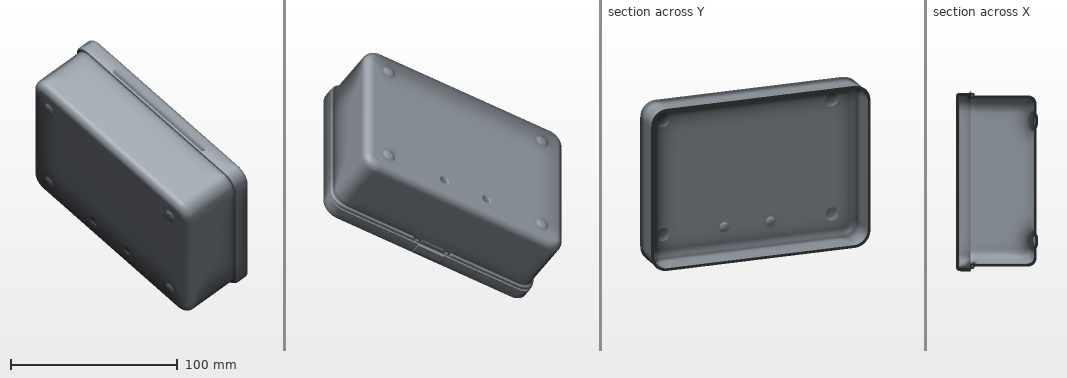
import cadquery as cq
import math


box_width = 139.9
box_height = 101.8
box_depth = 39.2
corner_radius = 10.0
box_edge_radius = 5.0
box_sheet = 1.0

lid_width = 143.0
lid_height = 106.1
lid_depth = 8.5
lid_edge_radius = 2.0
lid_sheet = 1.3

rim_overhang = (lid_width - box_width) / 2
rim_depth = 2.0
rim_fillet = 1.0
rim_width = box_width + 2 * rim_overhang
rim_height = box_height + 2 * rim_overhang
lid_top = rim_height / 2
lid_bottom = lid_top - lid_height
lid_center = (lid_top + lid_bottom) / 2

notch_width = 25.7
tongue_width = 14.9
tongue_thickness = 0.6
tongue_fillet = 0.5
stop_width = 1.7
stop_center = 10.5

hinge_length = 80.1
hinge_rise = 1.5
hinge_heel = 0.9

latch_width = 18.0
latch_thickness = 1.0
latch_bend_radius = 4.1

foot_radius = 4.1
foot_tip_radius = 1.3
foot_x = 54.0
foot_z = 36.0
dimple_radius = 3.1
dimple_tip_radius = 0.7
dimple_x = 14.9
press_height = 0.9


def rounded_block(width, height, radius, y_front, y_back, z_center=0.0):
    """Block with rounded corners, running from y_front back to y_back."""
    return (
        cq.Workplane("XZ", origin=(0, y_back, z_center))
        .rect(width, height)
        .extrude(y_back - y_front)
        .edges("|Y")
        .fillet(radius)
    )


def block(width, x_center, y_front, y_back, z_low, z_high):
    """Plain block centred on x_center."""
    return cq.Workplane("XY").box(width, y_back - y_front, z_high - z_low).translate(
        (x_center, (y_front + y_back) / 2, (z_low + z_high) / 2)
    )


def dome(radius, tip_radius, x, y, z, direction):
    """Low round dome with a flat tip, rising from y along Y; direction is -1 or 1."""
    run = radius - tip_radius
    arc_radius = (run**2 + press_height**2) / (2 * press_height)
    half_angle = math.asin(run / arc_radius) / 2
    middle = (
        tip_radius + arc_radius * math.sin(half_angle),
        direction * (press_height - arc_radius * (1 - math.cos(half_angle))),
    )
    return (
        cq.Workplane("ZY")
        .lineTo(radius, 0)
        .threePointArc(middle, (tip_radius, direction * press_height))
        .lineTo(0, direction * press_height)
        .close()
        .revolve(360, (0, 0, 0), (0, 1, 0))
        .translate((x, y, z))
    )


def make_rim():
    """Plate around the box mouth, notched at the bottom and rounded at its front edge."""
    box_bottom = -box_height / 2
    notch = block(notch_width, 0, -rim_depth, 0, -rim_height / 2, box_bottom + box_sheet / 2)
    rim = rounded_block(rim_width, rim_height, corner_radius, -rim_depth, 0).cut(notch)
    return rim.faces("<Y").edges().fillet(rim_fillet)


def make_hinge_ridge():
    """Ridge on top of the rim that laps a little way over the lid."""
    profile = [
        (-rim_depth + rim_fillet, lid_top - rim_overhang),
        (-rim_depth + rim_fillet, lid_top),
        (0, lid_top + hinge_rise),
        (hinge_heel, lid_top + hinge_heel),
        (hinge_heel, lid_top),
        (0, lid_top),
        (0, lid_top - rim_overhang),
    ]
    return cq.Workplane("YZ").polyline(profile).close().extrude(hinge_length / 2, both=True)


def make_notch_details():
    """Tongue on the lower wall inside the rim notch, with a stop on either side."""
    wall_middle = -box_height / 2 + box_sheet / 2
    tongue_bottom = -box_height / 2 - tongue_thickness
    stop_bottom = lid_bottom + lid_sheet
    details = block(tongue_width, 0, -rim_depth, 0, tongue_bottom, wall_middle)
    details = details.edges("<Y and <Z").fillet(tongue_fillet)
    for side in (-1, 1):
        stop = block(stop_width, side * stop_center, -rim_fillet, 0, stop_bottom, wall_middle)
        details = details.union(stop)
    return details


def make_box():
    """Open sheet box with its rim, hinge ridge, feet and dimples."""
    outside = rounded_block(box_width, box_height, corner_radius, -box_depth, 0)
    outside = outside.faces("<Y").edges().fillet(box_edge_radius)
    inner_front = -box_depth + box_sheet
    cavity = rounded_block(
        box_width - 2 * box_sheet,
        box_height - 2 * box_sheet,
        corner_radius - box_sheet,
        inner_front,
        0,
    )
    cavity = cavity.faces("<Y").edges().fillet(box_edge_radius - box_sheet)
    body = outside.union(make_rim()).union(make_hinge_ridge()).union(make_notch_details()).cut(cavity)

    for x in (-foot_x, foot_x):
        for z in (-foot_z, foot_z):
            body = body.union(dome(foot_radius, foot_tip_radius, x, -box_depth, z, -1))
            body = body.cut(dome(foot_radius, foot_tip_radius, x, inner_front, z, -1))

    for x in (-dimple_x, dimple_x):
        body = body.union(dome(dimple_radius, dimple_tip_radius, x, inner_front, -foot_z, 1))
        body = body.cut(dome(dimple_radius, dimple_tip_radius, x, -box_depth, -foot_z, 1))
    return body


def lid_outside():
    """Solid block with the outer shape of the lid."""
    outside = rounded_block(lid_width, lid_height, corner_radius, 0, lid_depth, lid_center)
    return outside.faces(">Y").edges().fillet(lid_edge_radius)


def make_lid():
    """Shallow sheet lid, open towards the box."""
    cavity = rounded_block(
        lid_width - 2 * lid_sheet,
        lid_height - 2 * lid_sheet,
        corner_radius - lid_sheet,
        0,
        lid_depth - lid_sheet,
        lid_center,
    )
    cavity = cavity.faces(">Y").edges().fillet(lid_edge_radius - lid_sheet)
    return lid_outside().cut(cavity)


def make_latch():
    """Plate under the lid with a rounded back edge, fitted to the outside of the lid."""
    plate_bottom = lid_bottom - latch_thickness
    plate_top = plate_bottom + latch_bend_radius + lid_edge_radius
    plate = block(latch_width, 0, 0, lid_depth, plate_bottom, plate_top)
    plate = plate.edges(">Y and <Z").fillet(latch_bend_radius)
    return plate.cut(lid_outside())


box = make_box()
lid = make_lid()
latch = make_latch()

result = cq.Compound.makeCompound([box.solids().val(), lid.solids().val(), latch.solids().val()])